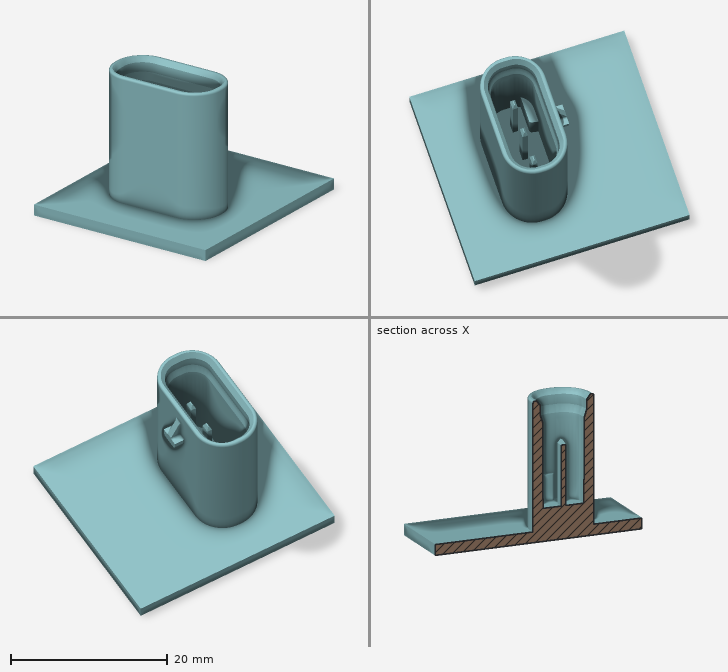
import cadquery as cq

plate_length_x = 26.7
plate_length_y = 29.0
plate_thickness = 1.5
total_height = 19.0

shroud_length_x = 16.47
shroud_length_y = 8.6
shroud_corner_radius = 4.05
shroud_center_y = -3.48
shroud_rim_radius = 0.32

cavity_corner_trim = 0.23
mouth_inset = 0.55
seal_inset = 1.07
socket_inset = 1.42
floor_inset = 1.48
mouth_depth = 0.7
seal_depth = 2.0
socket_depth = 3.05
socket_straight_depth = 3.85
cavity_depth = 14.5

key_height = 3.48
key_corner_radius = 0.35
side_key_edge_y = 1.7
side_key_foot_x = -2.73
side_key_root_x = -2.52
end_key_edge_x = 6.1
end_key_edge_y = 0.1

pin_count = 3
pin_pitch = 4.0
pin_width = 1.2
pin_thickness = 0.7
pin_tip_depth = 5.8
pin_tip_length = 0.58
pin_tip_taper = 0.3

catch_projection = 1.35
catch_width = 2.78
catch_rib_width = 0.85
catch_bottom_z = 13.45
catch_shoulder_z = 14.5
catch_ramp_foot_z = 14.73
catch_ramp_top_z = 17.05
catch_lower_edge_radius = 0.5
catch_blend_radius = 0.23

overlap = 0.15

floor_z = total_height - cavity_depth
shroud_wall_y = shroud_center_y + shroud_length_y / 2


def rounded_rectangle(length_x, length_y, radius, z):
    """Rounded-rectangle profile around the shroud axis at height z."""
    sketch = cq.Sketch().rect(length_x, length_y).vertices().fillet(radius)
    return cq.Workplane("XY", origin=(0, shroud_center_y, z)).placeSketch(sketch)


def cavity_wire(inset, depth):
    """Cavity outline at the given wall inset and depth below the rim."""
    profile = rounded_rectangle(
        shroud_length_x - 2 * inset,
        shroud_length_y - 2 * inset,
        shroud_corner_radius - cavity_corner_trim - inset,
        total_height - depth,
    )
    thin_slab = profile.extrude(overlap)
    return thin_slab.faces("<Z").wires().val()


def make_plate():
    return cq.Workplane("XY").box(
        plate_length_x, plate_length_y, plate_thickness, centered=(True, True, False)
    )


def make_shroud():
    body = rounded_rectangle(shroud_length_x, shroud_length_y, shroud_corner_radius, 0)
    return body.extrude(total_height).faces(">Z").edges().fillet(shroud_rim_radius)


def make_cavity():
    """Stack of straight and tapered stages from the rim down to the floor."""
    stages = [
        (mouth_inset, 0),
        (seal_inset, mouth_depth),
        (seal_inset, seal_depth),
        (socket_inset, socket_depth),
        (socket_inset, socket_straight_depth),
        (floor_inset, cavity_depth),
    ]
    wires = [cavity_wire(inset, depth) for inset, depth in stages]
    cavity = cq.Workplane("XY")
    for upper, lower in zip(wires, wires[1:]):
        cavity = cavity.union(cq.Workplane(cq.Solid.makeLoft([upper, lower], True)))
    return cavity


def make_keys():
    """Two keys against the cavity wall, trimmed to end inside the shroud wall."""
    base = cq.Workplane("XY", origin=(0, shroud_center_y, floor_z - overlap))
    end_x = shroud_length_x / 2
    end_y = shroud_length_y / 2
    side_key_corner = (
        side_key_foot_x,
        shroud_center_y + side_key_edge_y,
        floor_z + key_height / 2,
    )
    side_key = (
        base.moveTo(-end_x, side_key_edge_y)
        .lineTo(side_key_foot_x, side_key_edge_y)
        .lineTo(side_key_root_x, end_y - floor_inset)
        .lineTo(side_key_root_x, end_y)
        .lineTo(-end_x, end_y)
        .close()
        .extrude(key_height + overlap)
        .edges(cq.selectors.NearestToPointSelector(side_key_corner))
        .fillet(key_corner_radius)
    )
    end_key = (
        base.moveTo(end_key_edge_x, end_key_edge_y)
        .lineTo(end_x, end_key_edge_y)
        .lineTo(end_x, end_y)
        .lineTo(end_key_edge_x, end_y)
        .close()
        .extrude(key_height + overlap)
        .edges("|Z and <X and <Y")
        .fillet(key_corner_radius)
    )
    limits = rounded_rectangle(
        shroud_length_x - 2 * seal_inset,
        shroud_length_y - 2 * seal_inset,
        shroud_corner_radius - seal_inset,
        0,
    ).extrude(total_height)
    return side_key.union(end_key).intersect(limits)


def make_pin(x):
    pin_top = total_height - pin_tip_depth
    shank_height = pin_top - pin_tip_length - floor_z + overlap
    base = cq.Workplane("XY", origin=(x, shroud_center_y, floor_z - overlap))
    shank = base.rect(pin_width, pin_thickness).extrude(shank_height)
    tip = (
        shank.faces(">Z").workplane()
        .rect(pin_width, pin_thickness)
        .workplane(offset=pin_tip_length)
        .rect(pin_width - 2 * pin_tip_taper, pin_thickness - 2 * pin_tip_taper)
        .loft(combine=False)
    )
    return shank.union(tip)


def make_catch():
    """Ramped centre rib over a flat-topped block, blended into the shroud wall."""
    root_y = shroud_wall_y - overlap
    tip_y = shroud_wall_y + catch_projection
    block_height = catch_shoulder_z - catch_bottom_z
    block = (
        cq.Workplane("XY", origin=(0, root_y, catch_bottom_z))
        .box(catch_width, tip_y - root_y, block_height, centered=(True, False, False))
        .edges("|Y and <Z")
        .fillet(catch_lower_edge_radius)
    )
    rib = (
        cq.Workplane("YZ", origin=(-catch_rib_width / 2, 0, 0))
        .moveTo(root_y, catch_bottom_z)
        .lineTo(tip_y, catch_bottom_z)
        .lineTo(tip_y, catch_ramp_foot_z)
        .lineTo(shroud_wall_y, catch_ramp_top_z)
        .lineTo(root_y, catch_ramp_top_z)
        .close()
        .extrude(catch_rib_width)
    )
    return block.union(rib)


def blend_catch(body):
    """Fillet the block shoulders and the rib sides into each other and the wall."""
    inside_x = catch_width / 2 - overlap
    back_y = shroud_wall_y - overlap
    front_y = shroud_wall_y + catch_projection
    low_z = catch_shoulder_z - overlap
    shoulder_zone = cq.selectors.BoxSelector(
        (-inside_x, back_y, low_z), (inside_x, front_y, catch_shoulder_z + overlap)
    )
    rib_zone = cq.selectors.BoxSelector(
        (-inside_x, back_y, low_z), (inside_x, front_y, catch_ramp_top_z)
    )
    shoulder_edges = body.edges(shoulder_zone).edges("|X or |Y")
    rib_wall_edges = body.edges(rib_zone).edges("|Z")
    return shoulder_edges.add(rib_wall_edges).fillet(catch_blend_radius)


first_pin_x = -pin_pitch * (pin_count - 1) / 2

outer_body = make_plate().union(make_shroud()).union(make_catch())
result = blend_catch(outer_body).cut(make_cavity()).union(make_keys())
for index in range(pin_count):
    result = result.union(make_pin(first_pin_x + index * pin_pitch))